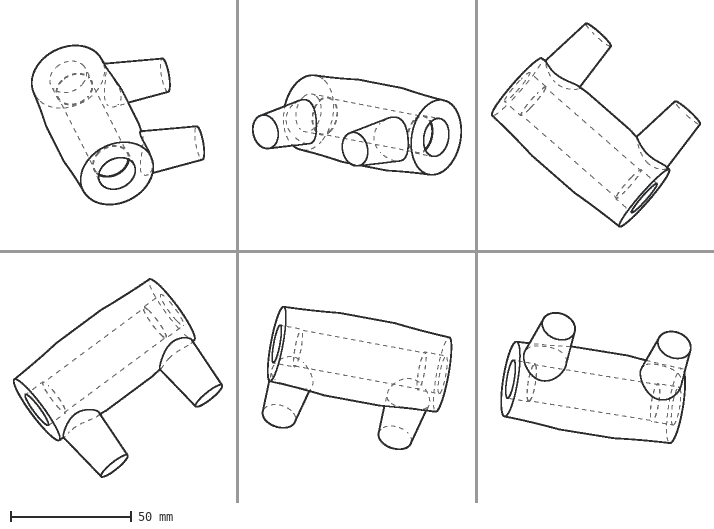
import cadquery as cq

length = 71.0
barrel_diameter = 35.0
end_diameter = 31.6
band_length = length / 3
shoulder_hollow = 0.2

bore_diameter = 15.2
counterbore_diameter = 16.0
counterbore_depth = 9.0

total_width = 56.5
peg_spacing = 49.7
peg_tip_diameter = 14.2
peg_base_diameter = 18.45
peg_base_y = 14.2
peg_root_y = 9.95

barrel_radius = barrel_diameter / 2
end_radius = end_diameter / 2
peg_tip_y = total_width - barrel_radius


def make_barrel():
    """Solid of revolution with a straight band between two hollowed shoulders."""
    half_band = band_length / 2
    half_length = length / 2
    mid_x = (half_band + half_length) / 2
    mid_radius = (barrel_radius + end_radius) / 2 - shoulder_hollow
    return (
        cq.Workplane("XY")
        .moveTo(-half_length, 0)
        .lineTo(-half_length, end_radius)
        .threePointArc((-mid_x, mid_radius), (-half_band, barrel_radius))
        .lineTo(half_band, barrel_radius)
        .threePointArc((mid_x, mid_radius), (half_length, end_radius))
        .lineTo(half_length, 0)
        .close()
        .revolve(360, (0, 0, 0), (1, 0, 0))
    )


def make_peg(x):
    """Cone about a line parallel to Y, narrowing towards its tip."""
    taper = (peg_base_diameter - peg_tip_diameter) / 2 / (peg_tip_y - peg_base_y)
    tip_radius = peg_tip_diameter / 2
    root_radius = tip_radius + taper * (peg_tip_y - peg_root_y)
    cone = cq.Solid.makeCone(
        root_radius,
        tip_radius,
        peg_tip_y - peg_root_y,
        cq.Vector(x, peg_root_y, 0),
        cq.Vector(0, 1, 0),
    )
    return cq.Workplane(cone)


def make_bore(diameter, start_x, depth):
    """Cylinder along X used to cut the bore."""
    return cq.Workplane("YZ", origin=(start_x, 0, 0)).circle(diameter / 2).extrude(depth)


result = make_barrel()
for side in (-1, 1):
    result = result.union(make_peg(side * peg_spacing / 2))

result = result.cut(make_bore(bore_diameter, -length / 2, length))
for start_x in (-length / 2, length / 2 - counterbore_depth):
    result = result.cut(make_bore(counterbore_diameter, start_x, counterbore_depth))